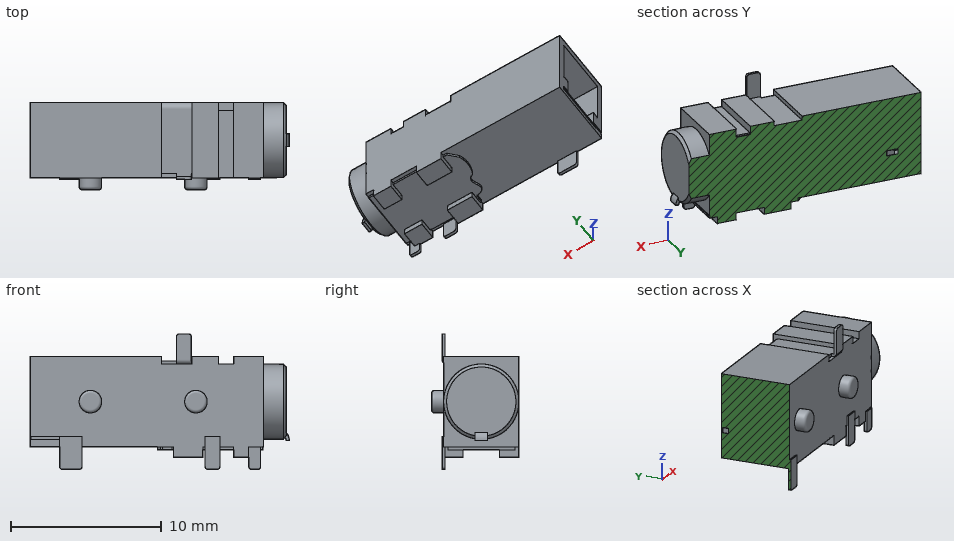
import cadquery as cq

BODY_LENGTH = 15.5
BODY_WIDTH = 5.0
BODY_HEIGHT = 6.0
MID_Y = BODY_WIDTH / 2
MID_Z = BODY_HEIGHT / 2

NOSE_DIAMETER = 5.0
NOSE_LENGTH = 1.5
NOSE_CHAMFER = 0.2
NOSE_TIP_X = BODY_LENGTH + NOSE_LENGTH

PEG_DIAMETER = 1.5
PEG_LENGTH = 0.8
PEG_FILLET = 0.2
PEG_XS = (4.0, 11.0)

SHEET = 0.2
LEAD_PROUD = 0.1
LEAD_CORNER_RADIUS = 0.2
LEAD_BEND_RADIUS = 0.27
LEAD_BACK_Y = SHEET - LEAD_PROUD
LEAD_BOTTOM_Z = -1.5
LEAD_TOP_Z = 7.5

POCKET_DEPTH = 1.95
POCKET_WALL = 0.5
POCKET_TOP_Z = 5.42
LEDGE_TOP_Z = 1.82
LEDGE_WALL = 1.0
POCKET_FLOOR_Z = 0.68
NICHE_START_X = 1.7
NICHE_END_X = 2.5
NICHE_HEIGHT = 0.35
NICHE_DEPTH = 0.4

SLOT_BOTTOM_Z = POCKET_FLOOR_Z - SHEET
SLOT_SHEET_FRONT_Y = 0.64
SLOT_SHEET_BACK_Y = 4.46
SLOT_SHEET_INSET = 0.05

NOTCH_DEPTH = 0.5
NOTCH_FLOOR_Z = BODY_HEIGHT - NOTCH_DEPTH
CONTACT_NOTCH_X = (8.72, 10.73)
PLAIN_NOTCH_X = (12.5, 13.5)
CONTACT_FRONT_Y = 0.27
CONTACT_BEND_RADIUS = 0.45
BACK_STEP_Y = 4.48
BACK_STEP_DEPTH = 0.1

FOOT_HEIGHT = 0.7
FOOT_WIDTH = 1.3
FOOT_XS = ((9.5, 11.47), (13.5, 14.9))

REAR_LEAD_X = (POCKET_DEPTH, 3.45)
MIDDLE_LEAD_X = (11.6, 12.6)
NOSE_LEAD_X = (14.5, 15.3)
UPPER_LEAD_X = (9.7, 10.7)

BASE_SHEET_Y = (0.3, 4.74)
BASE_SHEET_END_X = 15.45
BASE_SHEET_SHOULDER_X = 9.4
FRONT_LOBE_START_Y = 0.88
FRONT_LOBE_CREST = (8.8, 1.45)
LOBE_VALLEY = (9.0, 1.95)
BACK_LOBE_START = (8.65, 2.48)
BACK_LOBE_CREST = (8.45, 3.4)
BACK_LOBE_END = (8.6, 4.1)
BASE_SHEET_BACK_CORNER_X = 9.2

TONGUE_WIDTH = 0.85
TONGUE_FLARE_RADIUS = 0.8
TONGUE_TIP_X = 17.2
TONGUE_Z = (0.41, 0.95)


def box(x_range, y_range, z_range):
    """Axis-aligned box given by its limits along each axis."""
    size = [limits[1] - limits[0] for limits in (x_range, y_range, z_range)]
    return (
        cq.Workplane("XY")
        .box(*size, centered=False)
        .translate((x_range[0], y_range[0], z_range[0]))
    )


def nose():
    return (
        cq.Workplane("YZ", origin=(BODY_LENGTH, MID_Y, MID_Z))
        .circle(NOSE_DIAMETER / 2)
        .extrude(NOSE_LENGTH)
        .faces(">X")
        .chamfer(NOSE_CHAMFER)
    )


def peg(x):
    return (
        cq.Workplane("XZ", origin=(x, 0, MID_Z))
        .circle(PEG_DIAMETER / 2)
        .extrude(PEG_LENGTH)
        .faces("<Y")
        .edges()
        .fillet(PEG_FILLET)
    )


def pocket():
    """Pocket, the slot open to the front below it, and a niche in its +Y wall."""
    x_range = (0, POCKET_DEPTH)
    back_y = BODY_WIDTH - POCKET_WALL
    upper = box(x_range, (POCKET_WALL, back_y), (LEDGE_TOP_Z, POCKET_TOP_Z))
    lower = box(x_range, (LEDGE_WALL, BODY_WIDTH - LEDGE_WALL), (POCKET_FLOOR_Z, LEDGE_TOP_Z))
    slot = box(x_range, (0, back_y), (SLOT_BOTTOM_Z, POCKET_FLOOR_Z))
    niche = box(
        (NICHE_START_X, NICHE_END_X),
        (back_y, back_y + NICHE_DEPTH),
        (LEDGE_TOP_Z, LEDGE_TOP_Z + NICHE_HEIGHT),
    )
    return upper.union(lower).union(slot).union(niche)


def contact_notch():
    """Cut for the upper contact: a step at the front and a rounded edge at the back."""
    sheet_top_z = NOTCH_FLOOR_Z + SHEET
    kept = (
        box(CONTACT_NOTCH_X, (CONTACT_FRONT_Y, BODY_WIDTH), (0, sheet_top_z))
        .edges("|X and >Y and >Z")
        .fillet(CONTACT_BEND_RADIUS)
    )
    cut_bottom_z = sheet_top_z - CONTACT_BEND_RADIUS
    back = box(CONTACT_NOTCH_X, (CONTACT_FRONT_Y, BODY_WIDTH), (cut_bottom_z, BODY_HEIGHT))
    front = box(CONTACT_NOTCH_X, (0, CONTACT_FRONT_Y), (NOTCH_FLOOR_Z, BODY_HEIGHT))
    return back.cut(kept).union(front)


def plain_notch():
    """Notch across the full width with a lower step at the back."""
    step_z = NOTCH_FLOOR_Z - BACK_STEP_DEPTH
    notch = box(PLAIN_NOTCH_X, (0, BODY_WIDTH), (NOTCH_FLOOR_Z, BODY_HEIGHT))
    return notch.union(box(PLAIN_NOTCH_X, (BACK_STEP_Y, BODY_WIDTH), (step_z, BODY_HEIGHT)))


def feet():
    """Pairs of feet along the front and back edges."""
    z_range = (-FOOT_HEIGHT, 0)
    pads = cq.Workplane("XY")
    for x_range in FOOT_XS:
        for y in (0, BODY_WIDTH - FOOT_WIDTH):
            pads = pads.union(box(x_range, (y, y + FOOT_WIDTH), z_range))
    return pads


def lead(x_range, z_range, tip):
    """Flat lead with rounded corners at its tip, the Z end given by a face selector."""
    blank = box(x_range, (-LEAD_PROUD, LEAD_BACK_Y), z_range)
    return blank.faces(tip).edges("|Y").fillet(LEAD_CORNER_RADIUS)


def upper_lead():
    """Upward lead with a rounded bend at its foot, joined to the upper contact sheet."""
    root_top_z = NOTCH_FLOOR_Z + SHEET
    upright = lead(UPPER_LEAD_X, (NOTCH_FLOOR_Z, LEAD_TOP_Z), ">Z")
    root = box(UPPER_LEAD_X, (LEAD_BACK_Y, CONTACT_FRONT_Y), (NOTCH_FLOOR_Z, root_top_z))
    return upright.union(root).edges("|X and <Y and <Z").fillet(LEAD_BEND_RADIUS)


def slot_sheet():
    return box(
        (SLOT_SHEET_INSET, POCKET_DEPTH),
        (SLOT_SHEET_FRONT_Y, SLOT_SHEET_BACK_Y),
        (SLOT_BOTTOM_Z, POCKET_FLOOR_Z),
    )


def base_sheet():
    """Sheet on the underside with a wavy edge of two lobes toward -X."""
    front_y, back_y = BASE_SHEET_Y
    return (
        cq.Workplane("XY")
        .moveTo(BASE_SHEET_END_X, front_y)
        .lineTo(BASE_SHEET_SHOULDER_X, front_y)
        .lineTo(BASE_SHEET_SHOULDER_X, FRONT_LOBE_START_Y)
        .spline([FRONT_LOBE_CREST, LOBE_VALLEY, BACK_LOBE_START], includeCurrent=True)
        .threePointArc(BACK_LOBE_CREST, BACK_LOBE_END)
        .lineTo(BASE_SHEET_BACK_CORNER_X, back_y)
        .lineTo(BASE_SHEET_END_X, back_y)
        .close()
        .extrude(-SHEET)
    )


def tongue():
    """Curved tip of the nose contact, flaring out past the nose face."""
    bottom_z, top_z = TONGUE_Z
    root_x = NOSE_TIP_X - NOSE_CHAMFER
    inner_x = TONGUE_TIP_X - SHEET
    return (
        cq.Workplane("XZ", origin=(0, MID_Y + TONGUE_WIDTH / 2, 0))
        .moveTo(inner_x, bottom_z)
        .lineTo(TONGUE_TIP_X, bottom_z)
        .radiusArc((NOSE_TIP_X, top_z), -TONGUE_FLARE_RADIUS)
        .lineTo(root_x, top_z)
        .close()
        .extrude(TONGUE_WIDTH)
    )


housing = box((0, BODY_LENGTH), (0, BODY_WIDTH), (0, BODY_HEIGHT))
housing = housing.cut(pocket()).cut(contact_notch()).cut(plain_notch())
housing = housing.union(nose()).union(feet())
for peg_x in PEG_XS:
    housing = housing.union(peg(peg_x))

result = housing.union(slot_sheet()).union(base_sheet()).union(tongue()).union(upper_lead())
for lead_x, lead_root_z in (
    (REAR_LEAD_X, POCKET_FLOOR_Z),
    (MIDDLE_LEAD_X, POCKET_FLOOR_Z),
    (NOSE_LEAD_X, 0),
):
    result = result.union(lead(lead_x, (LEAD_BOTTOM_Z, lead_root_z), "<Z"))